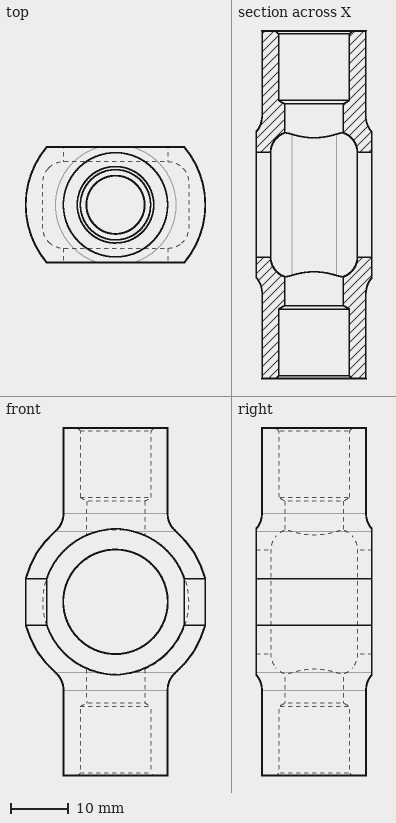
import cadquery as cq
import math

length = 60.0
half_length = length / 2
width_x = 31.0
width_y = 20.0
ball_radius = 16.0
pipe_radius = 9.0
neck_fillet = 4.0

cross_radius = 9.0
lip_depth = 2.5
chamber_radius = 12.6
chamber_round = chamber_radius - cross_radius

through_radius = 10.0 / 2
socket_radius = 12.1 / 2
mouth_radius = 6.6
socket_depth = 12.0
socket_cone_angle = math.radians(60)


def make_body():
    """Revolve the ball and pipes about Z, then trim the ball's rim and sides."""
    neck_x = pipe_radius + neck_fillet
    neck_distance = ball_radius + neck_fillet
    neck_z = math.sqrt(neck_distance**2 - neck_x**2)
    join_x = neck_x * ball_radius / neck_distance
    join_z = neck_z * ball_radius / neck_distance
    middle_angle = (math.pi + math.atan2(neck_z, neck_x) + math.pi) / 2
    middle_x = neck_x + neck_fillet * math.cos(middle_angle)
    middle_z = neck_z + neck_fillet * math.sin(middle_angle)

    body = (
        cq.Workplane("XZ")
        .moveTo(0, -half_length)
        .lineTo(pipe_radius, -half_length)
        .lineTo(pipe_radius, -neck_z)
        .threePointArc((middle_x, -middle_z), (join_x, -join_z))
        .threePointArc((ball_radius, 0), (join_x, join_z))
        .threePointArc((middle_x, middle_z), (pipe_radius, neck_z))
        .lineTo(pipe_radius, half_length)
        .lineTo(0, half_length)
        .close()
        .revolve(360, (0, 0, 0), (0, 1, 0))
    )
    rim = cq.Workplane("XY").circle(width_x / 2).extrude(half_length, both=True)
    sides = cq.Workplane("XY").box(width_x, width_y, length)
    return body.intersect(rim).intersect(sides)


def make_cross_bore():
    """Revolve the cross bore and its round-ended chamber about Y."""
    face_y = width_y / 2
    lip_y = face_y - lip_depth
    chamber_y = lip_y - chamber_round
    middle_offset = chamber_round * math.sqrt(0.5)
    middle_x = cross_radius + middle_offset
    middle_y = chamber_y + middle_offset
    return (
        cq.Workplane("XY")
        .moveTo(0, -face_y)
        .lineTo(cross_radius, -face_y)
        .lineTo(cross_radius, -lip_y)
        .threePointArc((middle_x, -middle_y), (chamber_radius, -chamber_y))
        .lineTo(chamber_radius, chamber_y)
        .threePointArc((middle_x, middle_y), (cross_radius, lip_y))
        .lineTo(cross_radius, face_y)
        .lineTo(0, face_y)
        .close()
        .revolve(360, (0, 0, 0), (0, 1, 0))
    )


def make_pipe_bore():
    """Revolve the upper half of the stepped bore about Z."""
    mouth_chamfer = mouth_radius - socket_radius
    socket_z = half_length - socket_depth
    cone_z = socket_z - (socket_radius - through_radius) / math.tan(socket_cone_angle)
    return (
        cq.Workplane("XZ")
        .polyline([
            (0, 0),
            (through_radius, 0),
            (through_radius, cone_z),
            (socket_radius, socket_z),
            (socket_radius, half_length - mouth_chamfer),
            (mouth_radius, half_length),
            (0, half_length),
        ])
        .close()
        .revolve(360, (0, 0, 0), (0, 1, 0))
    )


upper_bore = make_pipe_bore()
lower_bore = upper_bore.mirror("XY")
result = make_body().cut(make_cross_bore()).cut(upper_bore).cut(lower_bore)